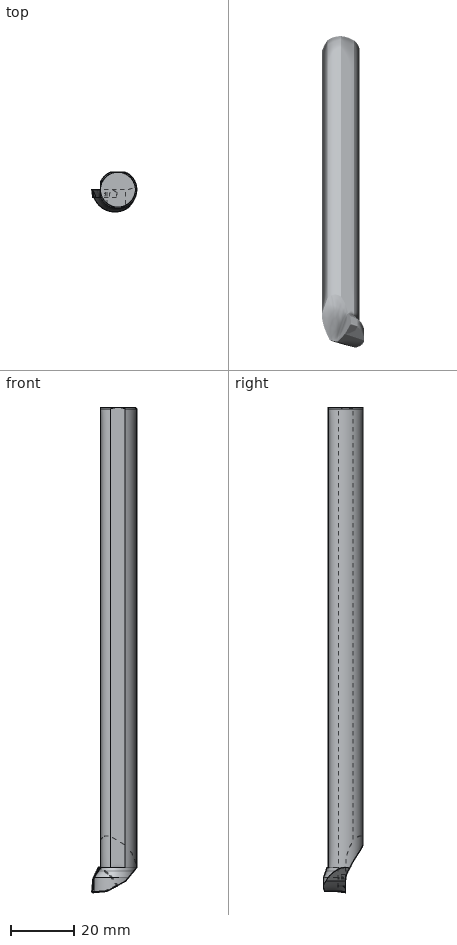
import cadquery as cq
import math

total_height = 153.6
shank_radius = 6.0
flat_distance = 5.5
top_chamfer = 0.5
shank_base = 8.0

head_radius = 7.0
head_offset = -0.9
neck_radius = 6.3
neck_offset = -0.3
neck_base = 6.9
taper_base = 4.8
head_bottom = 0.5
head_left = -7.7
head_heel_x = -3.4
head_shoulder = (2.5, 3.7)

pocket_floor = 0.0
pocket_radius = 13.8
pocket_curve_start = 5.4
pocket_slope = 0.6
pocket_reach = 15.4

insert_inscribed_radius = 3.2
insert_thickness = 2.5
insert_nose_radius = 0.5
insert_relief = 7.0
insert_corner = 80.0
insert_tip_direction = 225
insert_corner_step = 60
insert_tip_x = -8.3
insert_tip_z = 0.0


def make_insert():
    half_corner = math.radians(insert_corner / 2)
    sharp_distance = insert_inscribed_radius / math.sin(half_corner)
    blunt_distance = insert_inscribed_radius / math.sin(2 * half_corner)

    nose_distance = (insert_inscribed_radius - insert_nose_radius) / math.sin(half_corner)
    center_shift = nose_distance * math.sqrt(0.5) + insert_nose_radius
    center_x = insert_tip_x + center_shift
    center_z = insert_tip_z + center_shift

    corners = []
    for i in range(360 // insert_corner_step):
        angle = math.radians(insert_tip_direction + insert_corner_step * i)
        distance = sharp_distance if i % 2 == 0 else blunt_distance
        corners.append((center_x + distance * math.cos(angle), center_z + distance * math.sin(angle)))
    outline = cq.Sketch().polygon(corners + corners[:1])
    for i in (0, 2, 4):
        nose = cq.selectors.NearestToPointSelector((*corners[i], 0))
        outline = outline.reset().vertices(nose).fillet(insert_nose_radius)
    return (
        cq.Workplane("XZ", origin=(0, pocket_floor, 0))
        .placeSketch(outline)
        .extrude(insert_thickness, taper=insert_relief)
    )


def make_shank():
    length = total_height - shank_base
    rod = (
        cq.Workplane("XY", origin=(0, 0, shank_base))
        .circle(shank_radius)
        .extrude(length)
        .faces(">Z")
        .chamfer(top_chamfer)
    )
    flats = (
        cq.Workplane("XY", origin=(0, 0, shank_base))
        .center((shank_radius - flat_distance) / 2, 0)
        .rect(shank_radius + flat_distance, 2 * flat_distance)
        .extrude(length)
    )
    return rod.intersect(flats)


def make_cone(bottom_z, bottom_radius, bottom_x, top_z, top_radius, top_x):
    return (
        cq.Workplane("XY", origin=(bottom_x, 0, bottom_z))
        .circle(bottom_radius)
        .workplane(offset=top_z - bottom_z)
        .center(top_x - bottom_x, 0)
        .circle(top_radius)
        .loft(ruled=True)
    )


def make_head():
    neck = make_cone(neck_base, neck_radius, neck_offset, shank_base, shank_radius, 0)
    taper = make_cone(taper_base, head_radius, head_offset, neck_base, neck_radius, neck_offset)
    cylinder = cq.Workplane("XY", origin=(head_offset, 0, 0)).circle(head_radius).extrude(taper_base)
    side_profile = (
        cq.Workplane("XZ")
        .moveTo(-flat_distance, shank_base)
        .lineTo(head_left, taper_base)
        .lineTo(head_left, head_bottom)
        .lineTo(head_heel_x, head_bottom)
        .lineTo(*head_shoulder)
        .lineTo(shank_radius, shank_base)
        .close()
        .extrude(2 * head_radius, both=True)
    )
    return neck.union(taper).union(cylinder).intersect(side_profile)


def make_chip_pocket():
    start_z = pocket_curve_start + pocket_slope * pocket_reach
    top_y = pocket_floor + pocket_radius
    diagonal = pocket_radius * math.sqrt(0.5)
    section = (
        cq.Workplane("YZ", origin=(-pocket_reach, 0, 0))
        .moveTo(pocket_floor, -pocket_reach)
        .lineTo(pocket_floor, start_z)
        .threePointArc((top_y - diagonal, start_z + diagonal), (top_y, start_z + pocket_radius))
        .lineTo(top_y, -pocket_reach)
        .close()
        .wires()
        .val()
    )
    sweep = cq.Vector(2 * pocket_reach, 0, -2 * pocket_reach * pocket_slope)
    return cq.Workplane(cq.Solid.extrudeLinear(section, [], sweep))


insert = make_insert()
bar = make_shank().union(make_head()).cut(make_chip_pocket()).cut(insert)

result = cq.Compound.makeCompound([bar.val(), insert.val()])